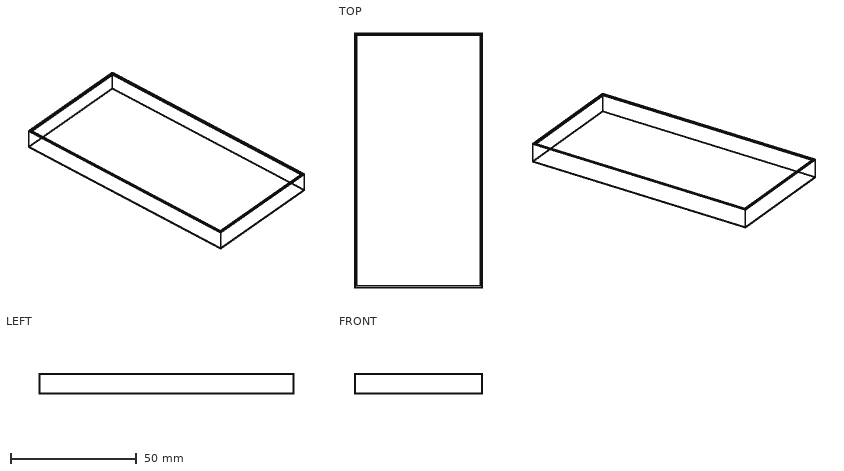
import cadquery as cq

width = 50.6
length = 101.0
height = 8.0

rim = 0.75
recess_depth = 0.25

tray = cq.Workplane("XY").box(width, length, height, centered=(True, True, False))

result = (
    tray.faces(">Z")
    .workplane()
    .rect(width - 2 * rim, length - 2 * rim)
    .cutBlind(-recess_depth)
)